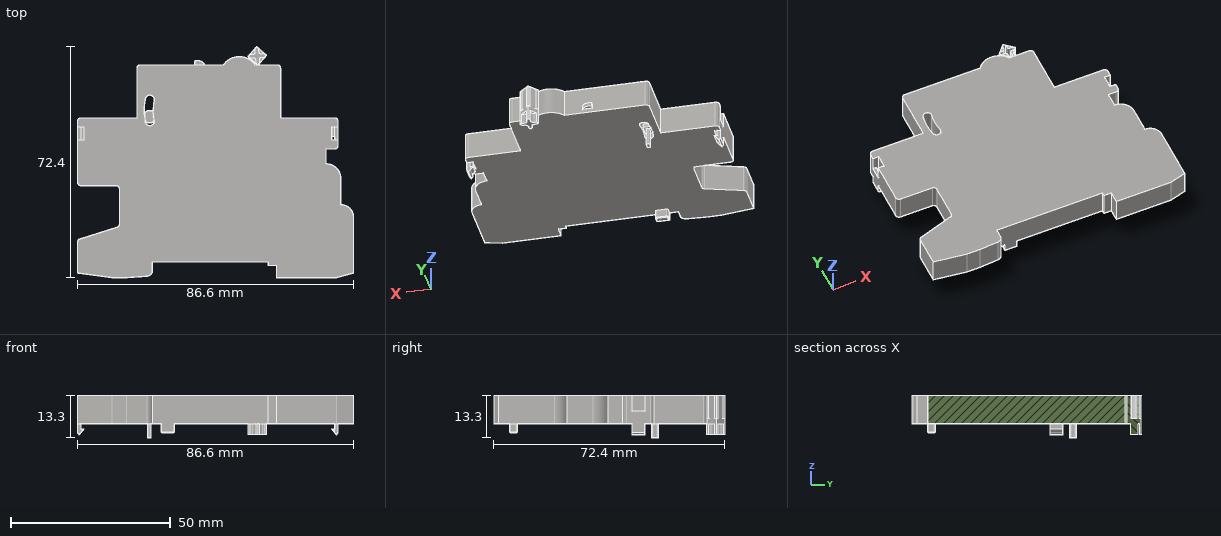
import cadquery as cq
import math

LENGTH = 86.6
THICKNESS = 8.9
SHOULDER_Y = 50.1
CROWN_Y = 66.8
CROWN_X = (18.6, 63.7)
RIGHT_SHOULDER_X = 81.75
RIGHT_SHOULDER_BOTTOM_Y = 40.35
RIGHT_NECK_X = 77.9
UPPER_STEP = (82.6, 35.8)
UPPER_STEP_RADIUS = UPPER_STEP[0] - RIGHT_NECK_X
LOWER_STEP_Y = 22.95
LOWER_STEP_RADIUS = LENGTH - UPPER_STEP[0]
SIDE_BOTTOM_Y = 1.5
RIGHT_FOOT_X = (62.35, 81.15)
RAIL_Y = 4.9
RAIL_X = (23.5, 59.75)
RAIL_STEP_Y = 3.8
LEFT_FOOT_FLAT_X = (10.9, 15.4)
LEFT_FOOT_TOE = (21.7, 0.4)
LEFT_FOOT_TOE_MIDDLE = (22.9, 0.9)
LEFT_FOOT_TOE_END_Y = 1.65
RECESS_X = 13.2
RECESS_TOP_Y = 28.8
RECESS_SLOPE_Y = (11.95, 16.1)
CORNER_RADIUS = 1.1
INNER_CORNER_RADIUS = 1.0

DOME_RADIUS = 6.1
DOME_X = 50.75
DOME_TOP_Y = 69.4
DOME_CENTER_Y = DOME_TOP_Y - DOME_RADIUS

SLOT_END_X = 22.7
SLOT_END_Y = (49.1, 55.9)
SLOT_WIDTH = 2.8
SLOT_SAGITTA = 0.35
SLOT_MIDDLE_Y = sum(SLOT_END_Y) / 2

LATCH_Y = (43.2, 47.3)
LATCH_THICKNESS = 1.1
LATCH_GAP = 0.9
LATCH_TOP_Z = 4.0
LATCH_SHOULDER_Z = -2.8
LATCH_TIP_Z = -3.5
BARB_Z = -1.65
BARB_REACH = 0.95
RIGHT_BARB_SETBACK = 1.0

BOSS_X = (26.2, 30.4)
BOSS_DEPTH = 2.4
BOSS_HEIGHT = 2.9
BOSS_ROUNDING = 0.5
BOSS_CHAMFER = 0.3

COUPLING_CENTER = (56.4, 69.5)
COUPLING_HALF_DIAGONAL = 2.95
COUPLING_TURN = 4.0
CROSS_WIDTH = 1.1
SOCKET_FILLET = 0.7
PLUG_FILLET = 1.0
SOCKET_WALL = 0.1
SOCKET_FLOOR_Z = 1.7
PLUG_LENGTH = 3.4

INNER_PLATE_Z = (1.4, 2.6)
TAB_RADIUS = 2.5
TAB_CENTER = (37.7, 65.6)
TAB_LEFT_X = 36.7
SLIDER_Y = (48.6, 52.4)
SLIDER_ROUNDING = 1.0
PIN_X = 22.5
PIN_WIDTH = 1.1
PIN_LENGTH = 2.1
PIN_BOTTOM_Z = -4.4
PIN_ROUNDING = 0.35


def block(x, y, z):
    """Box spanning the given (low, high) ranges."""
    return cq.Workplane("XY").box(
        x[1] - x[0], y[1] - y[0], z[1] - z[0], centered=False
    ).translate((x[0], y[0], z[0]))


def quarter_point(center, radius):
    """Point halfway round the upper right quarter of a circle."""
    offset = radius * math.sqrt(0.5)
    return (center[0] + offset, center[1] + offset)


def make_plate():
    upper_center = (RIGHT_NECK_X, UPPER_STEP[1] - UPPER_STEP_RADIUS)
    lower_center = (UPPER_STEP[0], LOWER_STEP_Y - LOWER_STEP_RADIUS)
    plate = (
        cq.Workplane("XY")
        .moveTo(0, SIDE_BOTTOM_Y)
        .lineTo(LEFT_FOOT_FLAT_X[0], 0)
        .lineTo(LEFT_FOOT_FLAT_X[1], 0)
        .lineTo(*LEFT_FOOT_TOE)
        .threePointArc(LEFT_FOOT_TOE_MIDDLE, (RAIL_X[0], LEFT_FOOT_TOE_END_Y))
        .lineTo(RAIL_X[0], RAIL_Y)
        .lineTo(RAIL_X[1], RAIL_Y)
        .lineTo(RAIL_X[1], RAIL_STEP_Y)
        .lineTo(RIGHT_FOOT_X[0], RAIL_STEP_Y)
        .lineTo(RIGHT_FOOT_X[0], 0)
        .lineTo(RIGHT_FOOT_X[1], 0)
        .lineTo(LENGTH, SIDE_BOTTOM_Y)
        .lineTo(LENGTH, lower_center[1])
        .threePointArc(quarter_point(lower_center, LOWER_STEP_RADIUS), (UPPER_STEP[0], LOWER_STEP_Y))
        .lineTo(UPPER_STEP[0], upper_center[1])
        .threePointArc(quarter_point(upper_center, UPPER_STEP_RADIUS), (RIGHT_NECK_X, UPPER_STEP[1]))
        .lineTo(RIGHT_NECK_X, RIGHT_SHOULDER_BOTTOM_Y)
        .lineTo(RIGHT_SHOULDER_X, RIGHT_SHOULDER_BOTTOM_Y)
        .lineTo(RIGHT_SHOULDER_X, SHOULDER_Y)
        .lineTo(CROWN_X[1], SHOULDER_Y)
        .lineTo(CROWN_X[1], CROWN_Y)
        .lineTo(CROWN_X[0], CROWN_Y)
        .lineTo(CROWN_X[0], SHOULDER_Y)
        .lineTo(0, SHOULDER_Y)
        .lineTo(0, RECESS_TOP_Y)
        .lineTo(RECESS_X, RECESS_TOP_Y)
        .lineTo(RECESS_X, RECESS_SLOPE_Y[1])
        .lineTo(0, RECESS_SLOPE_Y[0])
        .close()
        .extrude(THICKNESS)
    )
    outer_corners = [
        (0, RECESS_SLOPE_Y[0]),
        (0, RECESS_TOP_Y),
        (0, SHOULDER_Y),
        (CROWN_X[0], CROWN_Y),
        (CROWN_X[1], CROWN_Y),
        (RIGHT_SHOULDER_X, SHOULDER_Y),
        (RIGHT_SHOULDER_X, RIGHT_SHOULDER_BOTTOM_Y),
    ]
    inner_corners = [(RECESS_X, RECESS_TOP_Y), (RECESS_X, RECESS_SLOPE_Y[1])]
    for corners, radius in ((outer_corners, CORNER_RADIUS), (inner_corners, INNER_CORNER_RADIUS)):
        for x, y in corners:
            edge = cq.selectors.NearestToPointSelector((x, y, THICKNESS / 2))
            plate = plate.edges("|Z").edges(edge).fillet(radius)
    return plate


def make_dome():
    disc = cq.Workplane("XY").center(DOME_X, DOME_CENTER_Y).circle(DOME_RADIUS)
    return disc.extrude(THICKNESS)


def curved_slot(bottom_z, top_z):
    """Solid of the curved slot's outline, with round ends."""
    half = SLOT_WIDTH / 2
    middle_x = SLOT_END_X - SLOT_SAGITTA
    low, high = SLOT_END_Y
    return (
        cq.Workplane("XY", origin=(0, 0, bottom_z))
        .moveTo(SLOT_END_X + half, low)
        .threePointArc((middle_x + half, SLOT_MIDDLE_Y), (SLOT_END_X + half, high))
        .threePointArc((SLOT_END_X, high + half), (SLOT_END_X - half, high))
        .threePointArc((middle_x - half, SLOT_MIDDLE_Y), (SLOT_END_X - half, low))
        .threePointArc((SLOT_END_X, low - half), (SLOT_END_X + half, low))
        .close()
        .extrude(top_z - bottom_z)
    )


def add_latch(housing, outer_x, inward, barb_y):
    """Snap latch flush with the side at outer_x; inward is +1 or -1 along X."""
    inner_x = outer_x + inward * LATCH_THICKNESS
    gap_x = inner_x + inward * LATCH_GAP
    width = LATCH_Y[1] - LATCH_Y[0]
    notch = block(sorted((outer_x, gap_x)), LATCH_Y, (LATCH_TOP_Z, THICKNESS))
    gap = block(sorted((inner_x, gap_x)), LATCH_Y, (0, THICKNESS))
    arm_profile = [
        (outer_x, LATCH_TOP_Z),
        (inner_x, LATCH_TOP_Z),
        (inner_x, LATCH_SHOULDER_Z),
        ((outer_x + inner_x) / 2, LATCH_TIP_Z),
        (outer_x, LATCH_SHOULDER_Z),
    ]
    barb_profile = [
        (inner_x, BARB_Z),
        (inner_x + inward * BARB_REACH, BARB_Z),
        (inner_x, LATCH_SHOULDER_Z),
    ]
    arm = cq.Workplane("XZ", origin=(0, LATCH_Y[1], 0)).polyline(arm_profile).close().extrude(width)
    barb = (
        cq.Workplane("XZ", origin=(0, barb_y[1], 0))
        .polyline(barb_profile)
        .close()
        .extrude(barb_y[1] - barb_y[0])
    )
    return housing.cut(notch).cut(gap).union(arm).union(barb)


def make_boss():
    boss = block(BOSS_X, (RAIL_Y, RAIL_Y + BOSS_DEPTH), (-BOSS_HEIGHT, 0))
    return boss.edges("|Z and >Y").fillet(BOSS_ROUNDING).faces("<Z").chamfer(BOSS_CHAMFER)


def make_tab():
    """Thin disc with its left side cut flat, showing past the crown's edge."""
    bottom, top = INNER_PLATE_Z
    disc = (
        cq.Workplane("XY", origin=(0, 0, bottom))
        .center(*TAB_CENTER)
        .circle(TAB_RADIUS)
        .extrude(top - bottom)
    )
    kept = block(
        (TAB_LEFT_X, TAB_CENTER[0] + TAB_RADIUS),
        (TAB_CENTER[1] - TAB_RADIUS, TAB_CENTER[1] + TAB_RADIUS),
        INNER_PLATE_Z,
    )
    return disc.intersect(kept)


def make_slider():
    """Head that fills the curved slot's width, with a pin reaching below the housing."""
    half_slot = SLOT_WIDTH / 2
    head_x = (SLOT_END_X - half_slot - SLOT_SAGITTA / 2, SLOT_END_X + half_slot)
    head = block(head_x, SLIDER_Y, INNER_PLATE_Z).edges("|Z and (<X or <Y)").fillet(SLIDER_ROUNDING)
    head = head.intersect(curved_slot(*INNER_PLATE_Z))
    pin = (
        cq.Workplane("XY", origin=(PIN_X, sum(SLIDER_Y) / 2, PIN_BOTTOM_Z))
        .rect(PIN_WIDTH, PIN_LENGTH)
        .extrude(INNER_PLATE_Z[0] - PIN_BOTTOM_Z)
        .edges("|Z")
        .fillet(PIN_ROUNDING)
    )
    return head.union(pin)


def square_shaft(side, bottom_z, top_z):
    """Square prism centred on the Z axis with its corners on the X and Y axes."""
    prism = cq.Workplane("XY", origin=(0, 0, bottom_z)).rect(side, side).extrude(top_z - bottom_z)
    return prism.rotate((0, 0, 0), (0, 0, 1), 45)


def cross_shaft(side, fillet, bottom_z, top_z):
    """Upright cross with rounded inner corners, its tips bevelled by a square of this side."""
    span = side * math.sqrt(2)
    height = top_z - bottom_z
    base = cq.Workplane("XY", origin=(0, 0, bottom_z))
    cross = base.rect(span, CROSS_WIDTH).extrude(height).union(base.rect(CROSS_WIDTH, span).extrude(height))
    reach = CROSS_WIDTH
    inner_corners = cq.selectors.BoxSelector((-reach, -reach, bottom_z), (reach, reach, top_z))
    cross = cross.edges("|Z").edges(inner_corners).fillet(fillet)
    return cross.intersect(square_shaft(side, bottom_z, top_z))


def make_coupling(housing):
    """Square shaft with a cross socket above and a cross plug below, hollowed to clear the dome."""
    side = COUPLING_HALF_DIAGONAL * math.sqrt(2)
    socket = cross_shaft(side - 2 * SOCKET_WALL, SOCKET_FILLET, SOCKET_FLOOR_Z, THICKNESS)
    plug = cross_shaft(side, PLUG_FILLET, -PLUG_LENGTH, 0)
    coupling = square_shaft(side, 0, THICKNESS).cut(socket).union(plug)
    coupling = coupling.rotate((0, 0, 0), (0, 0, 1), COUPLING_TURN)
    return coupling.translate((*COUPLING_CENTER, 0)).cut(housing)


def make_housing(tab):
    housing = make_plate().union(make_dome()).cut(curved_slot(0, THICKNESS))
    housing = add_latch(housing, 0, 1, LATCH_Y)
    right_barb_y = (LATCH_Y[0] + RIGHT_BARB_SETBACK, LATCH_Y[1])
    housing = add_latch(housing, RIGHT_SHOULDER_X, -1, right_barb_y)
    return housing.union(make_boss()).cut(tab)


tab = make_tab()
slider = make_slider()
housing = make_housing(tab)
coupling = make_coupling(housing)

result = cq.Compound.makeCompound([housing.val(), coupling.val(), tab.val(), slider.val()])